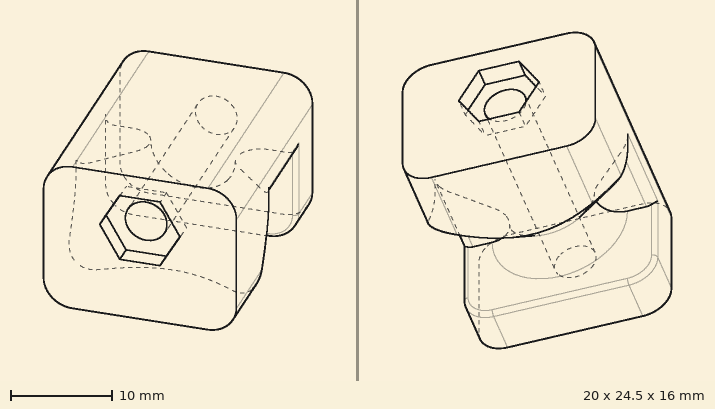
import cadquery as cq
import math

width = 20.0
length = 24.5
height = 16.0
corner_radius = 3.0

bolt_z = height / 2 - 6.0
bolt_diameter = 4.3
nut_across_flats = 7.2
nut_depth = 2.0

wall_front_y = 7.25
wall_edge_radius = 0.5
roof_bottom_z = bolt_z
roof_edge_radius = 1.0

core_radius = 4.5
flare_radius = 2.5
cone_angle = math.radians(45)


def make_block():
    return cq.Workplane("XY").box(width, length, height).edges("|Y").fillet(corner_radius)


def make_rear_wall():
    """Full-section wall at the rear, its front outline rounded."""
    thickness = length / 2 - wall_front_y
    return (
        cq.Workplane("XZ", origin=(0, length / 2, 0))
        .rect(width, height)
        .extrude(thickness)
        .edges("|Y")
        .fillet(corner_radius)
        .faces("<Y")
        .edges()
        .fillet(wall_edge_radius)
    )


def make_roof():
    """Slab along the whole length, its lower side edges rounded."""
    thickness = height / 2 - roof_bottom_z
    return (
        cq.Workplane("XY", origin=(0, 0, roof_bottom_z))
        .rect(width, length)
        .extrude(thickness)
        .edges("|Y and <Z")
        .fillet(roof_edge_radius)
        .edges("|Y and >Z")
        .fillet(corner_radius)
    )


def make_core():
    """Revolved core about the bolt axis, trimmed to the outer block."""
    flare_outer_radius = core_radius + flare_radius

    def flare_point(angle):
        """Point on the flare arc as (radius, y); zero angle is the narrowest place."""
        radius = flare_outer_radius - flare_radius * math.cos(angle)
        y = wall_front_y - flare_radius + flare_radius * math.sin(angle)
        return radius, y

    cone_start_radius, cone_start_y = flare_point(-cone_angle)
    end_radius = width / 2 + height
    end_y = cone_start_y - (end_radius - cone_start_radius) / math.tan(cone_angle)
    core = (
        cq.Workplane("XY", origin=(0, 0, bolt_z))
        .moveTo(0, length / 2)
        .lineTo(flare_outer_radius, length / 2)
        .lineTo(flare_outer_radius, wall_front_y)
        .threePointArc(flare_point(0), (cone_start_radius, cone_start_y))
        .lineTo(end_radius, end_y)
        .lineTo(end_radius, -length)
        .lineTo(0, -length)
        .close()
        .revolve(360, (0, 0), (0, 1))
    )
    return core.intersect(make_block())


def cut_bolt_and_nut(body):
    front = cq.Workplane("XZ", origin=(0, -length / 2, bolt_z))
    hole = front.circle(bolt_diameter / 2).extrude(-length)
    nut_across_corners = nut_across_flats / math.cos(math.radians(30))
    pocket = front.polygon(6, nut_across_corners).extrude(-nut_depth)
    return body.cut(hole).cut(pocket)


body = make_core().union(make_rear_wall()).union(make_roof())
result = cut_bolt_and_nut(body)